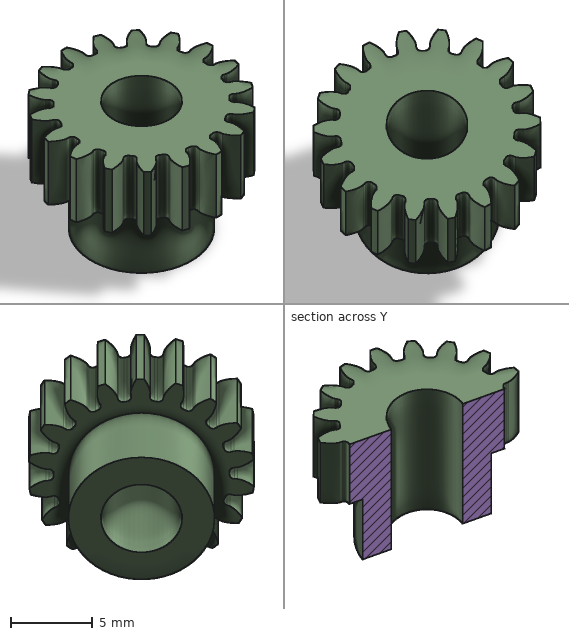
import cadquery as cq
import math

module = 0.7
tooth_count = 18
pressure_angle = math.radians(20)
pitch_radius = module * tooth_count / 2
tip_radius = pitch_radius + module
root_radius = pitch_radius - 1.25 * module
base_radius = pitch_radius * math.cos(pressure_angle)
root_fillet = 0.31
flank_points = 6

gear_width = 5.0
hub_length = 5.0
hub_diameter = 9.0
bore_diameter = 5.0


def involute_angle(radius):
    """Polar angle an involute sweeps between the base circle and a radius."""
    roll = math.sqrt((radius / base_radius) ** 2 - 1)
    return roll - math.atan(roll)


def half_tooth_angle(radius):
    """Half of the angle a tooth spans at a radius; constant inside the base circle."""
    pitch_half_angle = math.pi / (2 * tooth_count)
    swept = involute_angle(max(radius, base_radius))
    return pitch_half_angle + involute_angle(pitch_radius) - swept


def polar(radius, angle):
    return (radius * math.cos(angle), radius * math.sin(angle))


def make_gear():
    """Involute teeth, one of them centred on +Y, with rounded roots."""
    pitch_angle = 2 * math.pi / tooth_count
    step = (tip_radius - base_radius) / (flank_points - 1)
    radii = [base_radius + i * step for i in range(flank_points)]
    root_half_angle = half_tooth_angle(root_radius)

    first_angle = math.pi / 2
    outline = cq.Workplane("XY").moveTo(*polar(root_radius, first_angle - root_half_angle))
    for i in range(tooth_count):
        center = first_angle + i * pitch_angle
        rising = [polar(r, center - half_tooth_angle(r)) for r in radii]
        falling = [polar(r, center + half_tooth_angle(r)) for r in reversed(radii)]
        next_center = center + pitch_angle
        outline = (
            outline.lineTo(*rising[0])
            .spline(rising[1:], includeCurrent=True)
            .threePointArc(polar(tip_radius, center), falling[0])
            .spline(falling[1:], includeCurrent=True)
            .lineTo(*polar(root_radius, center + root_half_angle))
            .threePointArc(
                polar(root_radius, center + pitch_angle / 2),
                polar(root_radius, next_center - root_half_angle),
            )
        )
    gear = outline.close().extrude(gear_width)

    corner_limit = (root_radius + base_radius) / 2
    root_zone = cq.Workplane("XY").circle(corner_limit).extrude(gear_width)
    root_corners = [
        edge for edge in gear.edges("|Z").vals()
        if root_zone.val().isInside(edge.Center())
    ]
    return gear.newObject(root_corners).fillet(root_fillet)


hub = cq.Workplane("XY").circle(hub_diameter / 2).extrude(hub_length)
bore = cq.Workplane("XY").circle(bore_diameter / 2).extrude(hub_length + gear_width)
result = hub.union(make_gear().translate((0, 0, hub_length))).cut(bore)